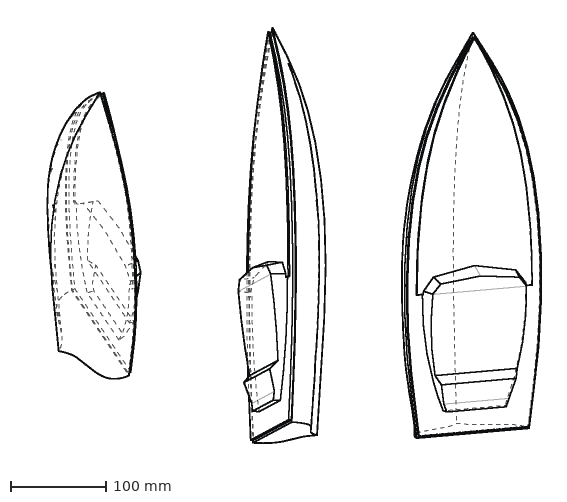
import cadquery as cq

LENGTH = 432.0
TIP_SIZE = 0.5

STATIONS = [
    (0.0, 63.0, 49.5, 0.0),
    (56.0, 70.5, 53.5, 0.0),
    (112.3, 75.5, 57.0, 0.0),
    (168.5, 77.0, 59.0, 0.0),
    (224.5, 74.3, 58.5, 0.0),
    (280.5, 66.5, 53.0, 0.1),
    (332.5, 52.5, 43.0, 0.2),
    (380.0, 32.0, 27.0, 0.3),
    (LENGTH, TIP_SIZE, TIP_SIZE, 0.3),
]

SECTION = [
    (1.0, 0.0),
    (0.98, 0.2),
    (0.89, 0.41),
    (0.67, 0.58),
    (0.4, 0.69),
    (0.2, 0.78),
    (0.1, 0.87),
    (0.0, 1.0),
]

DECK_BEAM_RATIO = 0.97
DECK_BOTTOM_Z = 2.5
DECK_TIP_Z = 427.0
DECK_TOP_Y = 3.0
FOREDECK_BEAM_RATIO = 0.84
FOREDECK_BOTTOM_Z = 155.5
FOREDECK_TOP_Y = 4.7

CABIN_TOP_Y = 22.0
CABIN_SHOULDER_Y = 20.0
CABIN_BASE_PEAK_Z = 184.0
CABIN_PEAK_Z = 174.5
CABIN_SHOULDER_Z = 159.0
CABIN_AFT_Z = 28.0
CABIN_AFT_ROOF_Z = 68.2
CABIN_AFT_ROOF_Y = 9.5
CABIN_BASE_HALF = 58.7
CABIN_TOP_HALF = 52.0
CABIN_AFT_RATIO = 0.6
CABIN_WAIST_RATIO = 0.92
SCREEN_BASE_HALF = 46.5
SCREEN_TOP_HALF = 44.0
SCREEN_BASE_CORNER_Z = 174.5
SCREEN_TOP_CORNER_Z = 169.3

LOCKER_TOP_Z = 59.5
LOCKER_TOP_Y = 17.3
LOCKER_BACK_Z = 37.0
LOCKER_BACK_Y = 10.5


def hull_section(height, half_beam, depth, straightness):
    """Closed, symmetric hull section at one height."""
    starboard = []
    for x, y in SECTION:
        straight_x = 1 - y
        blended_x = x + (straight_x - x) * straightness
        starboard.append(cq.Vector(blended_x * half_beam, -y * depth, height))
    port = [cq.Vector(-p.x, p.y, height) for p in reversed(starboard)]
    return cq.Wire.assembleEdges([
        cq.Edge.makeSpline(starboard),
        cq.Edge.makeSpline(port),
        cq.Edge.makeLine(port[-1], starboard[0]),
    ])


def make_hull():
    """Smooth skin through all the hull stations."""
    return cq.Workplane(cq.Solid.makeLoft([hull_section(*station) for station in STATIONS]))


def deck_panel(beam_ratio, top, bottom_z):
    """Flat panel following the sheer line, from the sheer plane up to the given Y."""
    tip_scale = DECK_TIP_Z / LENGTH
    side = [(half * beam_ratio, z * tip_scale) for z, half, _, _ in STATIONS]
    mirrored = [(-x, z) for x, z in reversed(side)]
    panel = (
        cq.Workplane("XZ")
        .moveTo(*side[0])
        .spline(side[1:], includeCurrent=True)
        .lineTo(*mirrored[0])
        .spline(mirrored[1:], includeCurrent=True)
        .close()
        .extrude(-top)
    )
    trim = cq.Workplane("XY").workplane(offset=bottom_z).rect(LENGTH, LENGTH).extrude(LENGTH)
    return panel.intersect(trim)


def cabin_outline(half, corner_half, corner_z, peak_z, y):
    """Plan of the cabin at one Y: pointed screen, corner pillars, sides curving in aft."""
    waist_z = (CABIN_SHOULDER_Z + CABIN_AFT_Z) / 2
    aft_half = half * CABIN_AFT_RATIO
    waist_half = half * CABIN_WAIST_RATIO
    return (
        cq.Workplane("XZ", origin=(0, y, 0))
        .moveTo(-aft_half, CABIN_AFT_Z)
        .lineTo(aft_half, CABIN_AFT_Z)
        .threePointArc((waist_half, waist_z), (half, CABIN_SHOULDER_Z))
        .lineTo(corner_half, corner_z)
        .lineTo(0, peak_z)
        .lineTo(-corner_half, corner_z)
        .lineTo(-half, CABIN_SHOULDER_Z)
        .threePointArc((-waist_half, waist_z), (-aft_half, CABIN_AFT_Z))
        .wire()
        .val()
    )


def make_cabin():
    """Tapered cabin body cut to the side profile of its roof and stern locker."""
    base = cabin_outline(CABIN_BASE_HALF, SCREEN_BASE_HALF, SCREEN_BASE_CORNER_Z, CABIN_BASE_PEAK_Z, 0)
    top = cabin_outline(CABIN_TOP_HALF, SCREEN_TOP_HALF, SCREEN_TOP_CORNER_Z, CABIN_PEAK_Z, CABIN_TOP_Y)
    body = cq.Workplane(cq.Solid.makeLoft([base, top], True))
    profile = (
        cq.Workplane("YZ")
        .polyline([
            (0, CABIN_AFT_Z),
            (LOCKER_BACK_Y, CABIN_AFT_Z),
            (LOCKER_BACK_Y, LOCKER_BACK_Z),
            (LOCKER_TOP_Y, LOCKER_TOP_Z),
            (CABIN_AFT_ROOF_Y, CABIN_AFT_ROOF_Z),
            (CABIN_SHOULDER_Y, CABIN_SHOULDER_Z),
            (CABIN_TOP_Y, CABIN_PEAK_Z),
            (CABIN_TOP_Y, CABIN_BASE_PEAK_Z),
            (0, CABIN_BASE_PEAK_Z),
        ])
        .close()
        .extrude(CABIN_BASE_HALF, both=True)
    )
    return body.intersect(profile)


deck = deck_panel(DECK_BEAM_RATIO, DECK_TOP_Y, DECK_BOTTOM_Z)
foredeck = deck_panel(FOREDECK_BEAM_RATIO, FOREDECK_TOP_Y, FOREDECK_BOTTOM_Z)
result = make_hull().union(deck).union(foredeck).union(make_cabin())